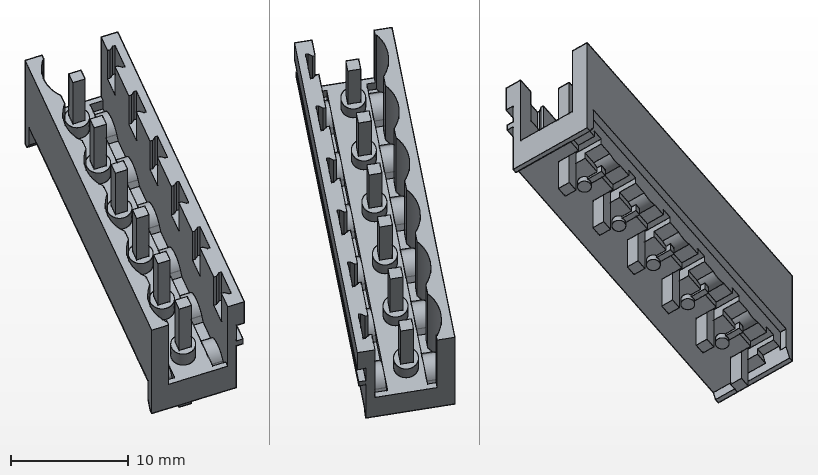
import cadquery as cq
import math


LENGTH = 30.28
WIDTH = 8.42
HEIGHT = 12.05

PIN_COUNT = 6
PIN_SPAN = 25.4
PITCH = PIN_SPAN / (PIN_COUNT - 1)
PIN_Y = 3.8
PIN_WIDTH = 1.0
PIN_DEPTH = 1.12
PIN_TOP = 11.02
PIN_BOTTOM = -3.15
pin_xs = [LENGTH / 2 + (i - (PIN_COUNT - 1) / 2) * PITCH for i in range(PIN_COUNT)]
gap_xs = [(left + right) / 2 for left, right in zip(pin_xs, pin_xs[1:])]

FLOOR_Z = 3.48
FRONT_WALL = 1.55
BACK_WALL_INNER_Y = 6.9
COLLAR_DIAMETER = 2.12
COLLAR_HEIGHT = 1.57

BACK_Y = 7.7
STEP_Z = 8.95
RIB_Y = 8.3
RIB_BOTTOM_Z = 6.03
RIB_HEIGHT = 0.73

SCALLOP_RADIUS = 3.27
SCALLOP_FRONT_Y = 0.8

TROUGH_MARGIN = 0.48
TROUGH_FRONT_Y = 2.27
TROUGH_BACK_Y = 5.72
HUMP_RADIUS = 1.57
HUMP_WIDTH = 3.3
HUMP_SIDE_ANGLE = math.radians(56)
HUMP_CREST_HALF = HUMP_RADIUS * math.sin(HUMP_SIDE_ANGLE)
HUMP_CREST_EDGE_Z = FLOOR_Z - HUMP_RADIUS * (1 - math.cos(HUMP_SIDE_ANGLE))
TROUGH_Z = HUMP_CREST_EDGE_Z - (HUMP_WIDTH / 2 - HUMP_CREST_HALF) * math.tan(HUMP_SIDE_ANGLE)

SLOT_BOTTOM_Z = 7.95
SLOT_NARROW = 1.82
SLOT_WIDE = 2.35
SLOT_TAPER_START_Y = 7.15
SLOT_TAPER_END_Y = 7.48
SLOT_BACK_Y = BACK_Y

RECESS_MARGIN = 0.95
RECESS_DEPTH = 0.6
RECESS_TOP_Z = 3.55
FOOT_WIDTH = 0.42
FOOT_ROOT_WIDTH = 1.12
LIP_Z = 1.35
UNDERSIDE_Z = 0.65
PIN_NOTCH_TOP_Z = 2.1
LIP_BULGE_HALF_WIDTH = 0.8
LIP_BULGE_DROP = 0.18

STANDOFF_DIAMETER = 1.18
STANDOFF_RIB_WIDTH = 0.55
STANDOFF_RIB_Z = 0.35
STANDOFF_RIB_FRONT_Y = 1.82


def block(x0, x1, y0, y1, z0, z1):
    """Box between two opposite corners."""
    return cq.Workplane("XY").box(x1 - x0, y1 - y0, z1 - z0, centered=False).translate((x0, y0, z0))


def extrude_along_y(outline, y0, y1):
    """Extrude a closed XZ outline from y0 to y1."""
    return outline.extrude(y0 - y1).translate((0, y0, 0))


def pin_block(x, z0, z1):
    """Rectangular bar on the pin axis at x."""
    half_width = PIN_WIDTH / 2
    half_depth = PIN_DEPTH / 2
    return block(x - half_width, x + half_width, PIN_Y - half_depth, PIN_Y + half_depth, z0, z1)


def channel_body():
    """U-shaped body with the stepped and ribbed back wall, extruded along X."""
    rib_top_z = RIB_BOTTOM_Z + RIB_HEIGHT
    points = [
        (0, 0), (BACK_Y, 0),
        (BACK_Y, RIB_BOTTOM_Z), (RIB_Y, RIB_BOTTOM_Z), (RIB_Y, rib_top_z), (BACK_Y, rib_top_z),
        (BACK_Y, STEP_Z), (WIDTH, STEP_Z), (WIDTH, HEIGHT),
        (BACK_WALL_INNER_Y, HEIGHT), (BACK_WALL_INNER_Y, FLOOR_Z),
        (FRONT_WALL, FLOOR_Z), (FRONT_WALL, HEIGHT), (0, HEIGHT),
    ]
    return cq.Workplane("YZ").polyline(points).close().extrude(LENGTH)


def hump(x):
    """Ridge along Y with a round crest and straight sloping flanks, its crest level with the floor."""
    half_width = HUMP_WIDTH / 2
    outline = (
        cq.Workplane("XZ")
        .moveTo(x - half_width, TROUGH_Z)
        .lineTo(x - HUMP_CREST_HALF, HUMP_CREST_EDGE_Z)
        .threePointArc((x, FLOOR_Z), (x + HUMP_CREST_HALF, HUMP_CREST_EDGE_Z))
        .lineTo(x + half_width, TROUGH_Z)
        .close()
    )
    return extrude_along_y(outline, 0, BACK_WALL_INNER_Y)


def scallop(x):
    """Round hollow in the front wall facing the pin at x."""
    cylinder = (
        cq.Workplane("XY", origin=(x, SCALLOP_FRONT_Y + SCALLOP_RADIUS, TROUGH_Z))
        .circle(SCALLOP_RADIUS)
        .extrude(HEIGHT - TROUGH_Z)
    )
    return cylinder.intersect(
        block(TROUGH_MARGIN, LENGTH - TROUGH_MARGIN, SCALLOP_FRONT_Y, FRONT_WALL, TROUGH_Z, HEIGHT)
    )


def wall_clearance():
    """Scallops and troughs to cut from the front wall and floor, leaving the humps standing."""
    x0 = TROUGH_MARGIN
    x1 = LENGTH - TROUGH_MARGIN
    clearance = (
        block(x0, x1, FRONT_WALL, TROUGH_FRONT_Y, TROUGH_Z, FLOOR_Z)
        .union(block(x0, x1, TROUGH_BACK_Y, BACK_WALL_INNER_Y, TROUGH_Z, FLOOR_Z))
    )
    for x in pin_xs:
        clearance = clearance.union(scallop(x)).cut(hump(x))
    return clearance


def dovetail_slot(x):
    """Dovetail slot open at the top and through the thin part of the back wall."""
    narrow = SLOT_NARROW / 2
    wide = SLOT_WIDE / 2
    right_side = [
        (narrow, BACK_WALL_INNER_Y), (narrow, SLOT_TAPER_START_Y),
        (wide, SLOT_TAPER_END_Y), (wide, SLOT_BACK_Y),
    ]
    left_side = [(-dx, y) for dx, y in reversed(right_side)]
    return (
        cq.Workplane("XY", origin=(x, 0, SLOT_BOTTOM_Z))
        .polyline(right_side + left_side)
        .close()
        .extrude(HEIGHT - SLOT_BOTTOM_Z)
    )


def underside_hollow():
    """Hollow between the sloping feet, deeper under the front lip than under the pins."""
    outline = cq.Workplane("XZ").polyline([
        (FOOT_WIDTH, 0), (FOOT_ROOT_WIDTH, LIP_Z),
        (LENGTH - FOOT_ROOT_WIDTH, LIP_Z), (LENGTH - FOOT_WIDTH, 0),
    ]).close()
    hollow = extrude_along_y(outline, 0, WIDTH)
    return hollow.cut(block(0, LENGTH, TROUGH_FRONT_Y, WIDTH, UNDERSIDE_Z, LIP_Z))


def lip_bulge(x):
    """Shallow rounded bulge on the lower edge of the front lip."""
    outline = (
        cq.Workplane("XZ")
        .moveTo(x - LIP_BULGE_HALF_WIDTH, LIP_Z)
        .threePointArc((x, LIP_Z - LIP_BULGE_DROP), (x + LIP_BULGE_HALF_WIDTH, LIP_Z))
        .close()
    )
    return extrude_along_y(outline, RECESS_DEPTH, TROUGH_FRONT_Y)


def standoff(x):
    """Round foot with a flat rib joining it to the front lip."""
    foot = (
        cq.Workplane("XY", origin=(x, PIN_Y, 0))
        .circle(STANDOFF_DIAMETER / 2)
        .extrude(LIP_Z)
    )
    half_width = STANDOFF_RIB_WIDTH / 2
    rib = block(x - half_width, x + half_width, STANDOFF_RIB_FRONT_Y, PIN_Y, STANDOFF_RIB_Z, LIP_Z)
    return foot.union(rib)


def collar(x):
    """Round boss on the channel floor around the pin at x."""
    return (
        cq.Workplane("XY", origin=(x, PIN_Y, FLOOR_Z))
        .circle(COLLAR_DIAMETER / 2)
        .extrude(COLLAR_HEIGHT)
    )


def pin_notch(x):
    """Slot from the front recess to the pin, open at the bottom."""
    return block(x - PIN_WIDTH / 2, x + PIN_WIDTH / 2, 0, PIN_Y, 0, PIN_NOTCH_TOP_Z)


def make_housing():
    """Channel with all its cuts, standoffs and collars, bored to fit the pins."""
    housing = channel_body().cut(wall_clearance()).cut(underside_hollow())
    housing = housing.cut(block(RECESS_MARGIN, LENGTH - RECESS_MARGIN, 0, RECESS_DEPTH, 0, RECESS_TOP_Z))
    for x in gap_xs:
        housing = housing.union(lip_bulge(x)).union(standoff(x))
    for x in pin_xs:
        housing = housing.union(collar(x))
        housing = housing.cut(dovetail_slot(x)).cut(pin_notch(x)).cut(pin_block(x, 0, HEIGHT))
    return housing


def make_pin(x):
    """Straight pin through the housing floor."""
    return pin_block(x, PIN_BOTTOM, PIN_TOP)


housing = make_housing()
pins = [make_pin(x) for x in pin_xs]

result = cq.Compound.makeCompound([housing.val(), *[pin.val() for pin in pins]])